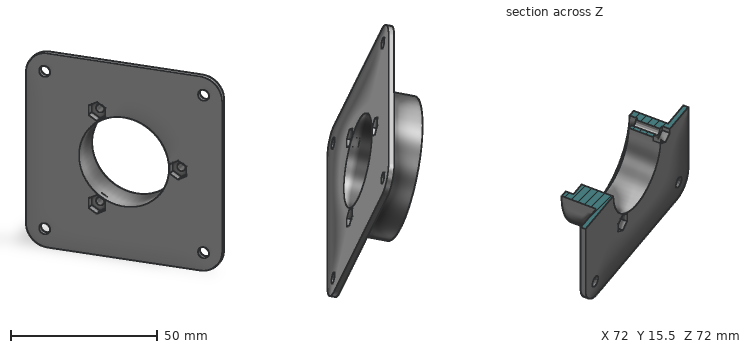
import cadquery as cq
import math

plate_side = 72.0
plate_thickness = 2.0
corner_radius = 8.0

total_depth = 15.5
collar_diameter = 50.5
bore_diameter = 33.0
recess_diameter = 44.5
recess_depth = 3.0

corner_hole_diameter = 4.0
corner_hole_circle_diameter = 82.5
corner_hole_spacing = corner_hole_circle_diameter / math.sqrt(2)

screw_count = 3
screw_hole_diameter = 3.0
screw_circle_diameter = 39.75
nut_sides = 6
nut_across_flats = 6.1
nut_pocket_depth = 3.0


def front_plane():
    """Sketch plane on the outer plate face; positive extrusion runs along +Y."""
    return cq.Workplane(cq.Plane(origin=(0, 0, 0), xDir=(1, 0, 0), normal=(0, 1, 0)))


def make_plate():
    plate = front_plane().rect(plate_side, plate_side).extrude(plate_thickness)
    return plate.edges("|Y").fillet(corner_radius)


def make_collar():
    return front_plane().circle(collar_diameter / 2).extrude(total_depth)


def make_bore():
    return front_plane().circle(bore_diameter / 2).extrude(total_depth)


def make_recess():
    """Wider round recess in the free end of the collar."""
    recess_floor = total_depth - recess_depth
    return front_plane().workplane(offset=recess_floor).circle(recess_diameter / 2).extrude(recess_depth)


def make_corner_holes():
    return (
        front_plane()
        .rect(corner_hole_spacing, corner_hole_spacing, forConstruction=True)
        .vertices()
        .circle(corner_hole_diameter / 2)
        .extrude(plate_thickness)
    )


def points_on_circle(count, radius, start_angle=0.0):
    """Evenly spaced points on a circle, the first one at start_angle from the +X axis."""
    step = 2 * math.pi / count
    angles = [start_angle + i * step for i in range(count)]
    return [(radius * math.cos(angle), radius * math.sin(angle)) for angle in angles]


def screw_positions():
    return points_on_circle(screw_count, screw_circle_diameter / 2)


def make_screw_holes():
    return front_plane().pushPoints(screw_positions()).circle(screw_hole_diameter / 2).extrude(total_depth)


def make_nut_pockets():
    """Hexagonal pockets, each with two flats facing +X and -X."""
    corner_distance = nut_across_flats / math.sqrt(3)
    hexagon = points_on_circle(nut_sides, corner_distance, start_angle=math.pi / nut_sides)
    pockets = front_plane()
    for x, y in screw_positions():
        outline = [(x + dx, y + dy) for dx, dy in hexagon]
        pockets = pockets.polyline(outline).close()
    return pockets.extrude(nut_pocket_depth)


result = make_plate().union(make_collar())
result = result.cut(make_bore()).cut(make_recess())
result = result.cut(make_corner_holes()).cut(make_screw_holes()).cut(make_nut_pockets())